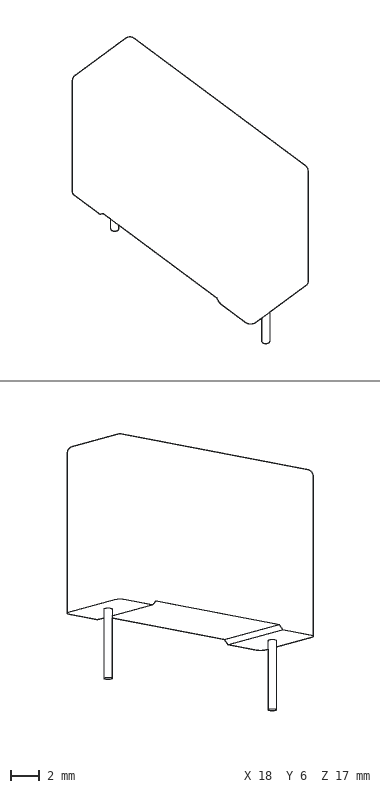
import cadquery as cq


case_length = 18.0
case_width = 6.0
case_height = 12.0
edge_radius = 0.5

recess_length = 11.9
recess_depth = 0.32
recess_end_run = 0.32

lead_pitch = 15.0
lead_diameter = 0.6
overall_height = 17.0
lead_length = overall_height - case_height


def make_case():
    """Block with rounded upright and top edges; the bottom edges stay sharp."""
    block = cq.Workplane("XY").box(
        case_length, case_width, case_height, centered=(True, True, False)
    )
    return block.edges("|Z or >Z").fillet(edge_radius)


def make_recess():
    """Trapezoidal channel running through the full case width."""
    half_bottom = recess_length / 2
    half_top = half_bottom - recess_end_run
    return (
        cq.Workplane("XZ")
        .moveTo(-half_bottom, 0)
        .lineTo(-half_top, recess_depth)
        .lineTo(half_top, recess_depth)
        .lineTo(half_bottom, 0)
        .close()
        .extrude(case_width / 2, both=True)
    )


def make_leads():
    """Two round leads hanging from the feet."""
    return (
        cq.Workplane("XY")
        .pushPoints([(-lead_pitch / 2, 0), (lead_pitch / 2, 0)])
        .circle(lead_diameter / 2)
        .extrude(-lead_length)
    )


result = make_case().cut(make_recess()).union(make_leads())